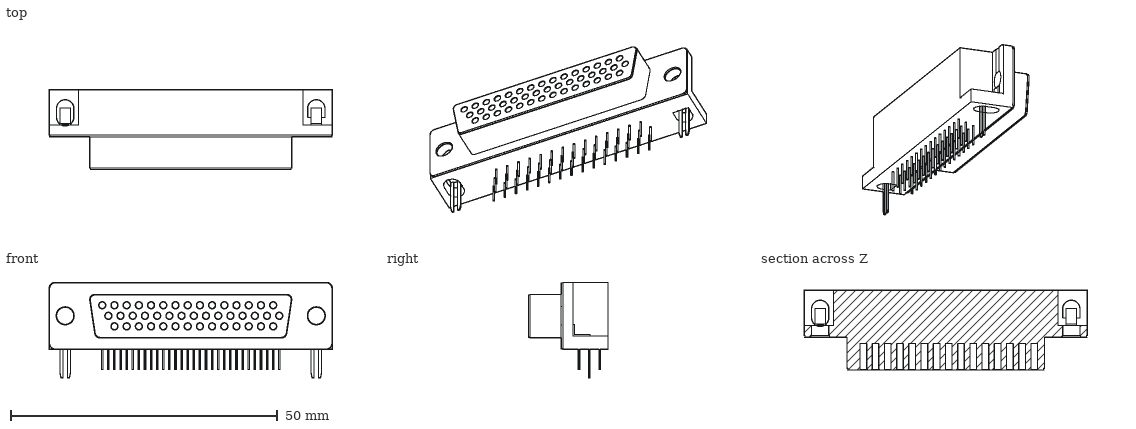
import cadquery as cq


WIDTH = 53.1
OVERALL_DEPTH = 15.0
HEIGHT = 12.55
REAR_Y = 0.0
MATING_Y = REAR_Y - OVERALL_DEPTH
FLANGE_BACK_Y = REAR_Y - 6.6
FLANGE_FRONT_Y = REAR_Y - 8.5
PLATE_THICKNESS = 0.35
PLATE_INSET = 0.09
PLATE_FRONT_Y = FLANGE_FRONT_Y - PLATE_THICKNESS
CORNER_RADIUS = 1.0

EAR_WIDTH = 5.45
LEDGE_HEIGHT = 2.55
MOUNT_PITCH = 47.1
MOUNT_HOLE_DIAMETER = 3.2
MOUNT_HOLE_Z = 6.3
PLATE_HOLE_DIAMETER = 3.4

SLOT_WIDTH = 3.2
SLOT_REAR_CENTER_Y = REAR_Y - 3.5
SLOT_FRONT_CENTER_Y = REAR_Y - 5.17

SHROUD_TOP_WIDTH = 38.25
SHROUD_BOTTOM_WIDTH = 35.8
SHROUD_BOTTOM_Z = 2.15
SHROUD_HEIGHT = 8.18
SHROUD_CORNER_RADIUS = 1.0
INSERT_INSET = 0.12
INSERT_PROJECTION = 0.35

CONTACT_PITCH = 2.29
CONTACT_OFFSET = CONTACT_PITCH / 2
ROW_PITCH = 1.98
MIDDLE_ROW_Z = MOUNT_HOLE_Z
SOCKET_DIAMETER = 1.2
SOCKET_DEPTH = 5.0
SOCKET_LEAD_IN = 0.08
LEAD_IN_ANGLE = 45
FULL_ROW = 15
SHORT_ROW = 14
FIRST_CONTACT_X = -(2 * FULL_ROW - 1) * CONTACT_OFFSET / 2

TAIL_DIAMETER = 0.3
TAIL_LENGTH = 3.8
TAIL_TIP_CHAMFER = 0.06
TAIL_ROW_PITCH = 1.93
MIDDLE_TAIL_Y = REAR_Y - 3.55

STRAP_WIDTH = 2.0
STRAP_THICKNESS = 0.3
STRAP_BEND_RADIUS = 0.18
STRAP_TOP_Z = 2.8
STRAP_LEG_TOP_Z = 4.65
STRAP_REAR_Y = REAR_Y - 3.4
PRONG_WIDTH = 0.6
PRONG_TIP_Z = -5.35
PRONG_TAPER_WIDTH = 0.2
PRONG_TAPER_HEIGHT = 0.85

CONTACT_ROWS = [
    (FIRST_CONTACT_X, FULL_ROW, MIDDLE_ROW_Z + ROW_PITCH, MIDDLE_TAIL_Y + TAIL_ROW_PITCH),
    (FIRST_CONTACT_X + CONTACT_OFFSET, FULL_ROW, MIDDLE_ROW_Z, MIDDLE_TAIL_Y),
    (FIRST_CONTACT_X + CONTACT_PITCH, SHORT_ROW, MIDDLE_ROW_Z - ROW_PITCH, MIDDLE_TAIL_Y - TAIL_ROW_PITCH),
]


def box_between(x_range, y_range, z_range):
    """Axis-aligned box from its limits along X, Y and Z."""
    x0, x1 = x_range
    y0, y1 = y_range
    z0, z1 = z_range
    return cq.Workplane("XY").box(x1 - x0, y1 - y0, z1 - z0, centered=False).translate((x0, y0, z0))


def make_housing():
    """Block with a full-width flange, ledges at both ends and a thin front plate."""
    half_width = WIDTH / 2
    flange = box_between((-half_width, half_width), (FLANGE_FRONT_Y, FLANGE_BACK_Y), (0, HEIGHT))
    flange = flange.edges("|Y and >Z").fillet(CORNER_RADIUS)
    half_plate = half_width - PLATE_INSET
    plate_z = (PLATE_INSET, HEIGHT - PLATE_INSET)
    plate = box_between((-half_plate, half_plate), (PLATE_FRONT_Y, FLANGE_FRONT_Y), plate_z)
    plate = plate.edges("|Y").fillet(CORNER_RADIUS)
    half_block = half_width - EAR_WIDTH
    block = box_between((-half_block, half_block), (FLANGE_BACK_Y, REAR_Y), (0, HEIGHT))
    ledges = box_between((-half_width, half_width), (FLANGE_BACK_Y, REAR_Y), (0, LEDGE_HEIGHT))
    return flange.union(plate).union(block).union(ledges)


def make_shroud_layer(inset, back_y, front_y):
    """Trapezoid, wider at the top, shrunk evenly from the shroud outline by the inset."""
    top_z = SHROUD_BOTTOM_Z + SHROUD_HEIGHT
    outline = [
        (-SHROUD_BOTTOM_WIDTH / 2, SHROUD_BOTTOM_Z),
        (SHROUD_BOTTOM_WIDTH / 2, SHROUD_BOTTOM_Z),
        (SHROUD_TOP_WIDTH / 2, top_z),
        (-SHROUD_TOP_WIDTH / 2, top_z),
    ]
    layer = cq.Workplane("XZ", origin=(0, back_y, 0)).polyline(outline).close()
    if inset > 0:
        layer = layer.offset2D(-inset)
    layer = layer.extrude(back_y - front_y)
    return layer.edges("|Y").fillet(SHROUD_CORNER_RADIUS - inset)


def make_shroud():
    """D-shaped shroud whose contact insert stands slightly proud of the shell."""
    shell_front_y = MATING_Y + INSERT_PROJECTION
    shell = make_shroud_layer(0, PLATE_FRONT_Y, shell_front_y)
    return shell.union(make_shroud_layer(INSERT_INSET, shell_front_y, MATING_Y))


def make_mount_holes():
    """Screw holes through the flange, slightly wider in the front plate."""
    centers = [(-MOUNT_PITCH / 2, 0), (MOUNT_PITCH / 2, 0)]
    flange_holes = (
        cq.Workplane("XZ", origin=(0, FLANGE_BACK_Y, MOUNT_HOLE_Z))
        .pushPoints(centers)
        .circle(MOUNT_HOLE_DIAMETER / 2)
        .extrude(FLANGE_BACK_Y - FLANGE_FRONT_Y)
    )
    plate_holes = (
        cq.Workplane("XZ", origin=(0, FLANGE_FRONT_Y, MOUNT_HOLE_Z))
        .pushPoints(centers)
        .circle(PLATE_HOLE_DIAMETER / 2)
        .extrude(PLATE_THICKNESS)
    )
    return flange_holes.union(plate_holes)


def make_slot_round_end(x, y, height):
    """Upright cylinder that forms one round end of a slot."""
    return cq.Workplane("XY", origin=(x, y, 0)).circle(SLOT_WIDTH / 2).extrude(height)


def make_slots():
    """Left slot is round at both ends; the right one is square at the front."""
    slots = cq.Workplane("XY")
    for x in (-MOUNT_PITCH / 2, MOUNT_PITCH / 2):
        straight = box_between(
            (x - SLOT_WIDTH / 2, x + SLOT_WIDTH / 2),
            (SLOT_FRONT_CENTER_Y, SLOT_REAR_CENTER_Y),
            (0, LEDGE_HEIGHT),
        )
        slots = slots.add(straight.union(make_slot_round_end(x, SLOT_REAR_CENTER_Y, LEDGE_HEIGHT)))
    return slots.add(make_slot_round_end(-MOUNT_PITCH / 2, SLOT_FRONT_CENTER_Y, HEIGHT)).combine()


def make_sockets():
    """Blind contact holes in the mating face, each with a small lead-in."""
    centers = []
    for first_x, count, z, _ in CONTACT_ROWS:
        centers += [(first_x + i * CONTACT_PITCH, z) for i in range(count)]
    bores = (
        cq.Workplane("XZ", origin=(0, MATING_Y + SOCKET_DEPTH, 0))
        .pushPoints(centers)
        .circle(SOCKET_DIAMETER / 2)
        .extrude(SOCKET_DEPTH)
    )
    lead_ins = (
        cq.Workplane("XZ", origin=(0, MATING_Y, 0))
        .pushPoints(centers)
        .circle(SOCKET_DIAMETER / 2 + SOCKET_LEAD_IN)
        .extrude(-SOCKET_LEAD_IN, taper=LEAD_IN_ANGLE)
    )
    return bores.union(lead_ins)


def make_tails():
    """Round solder tails below the housing, one for each contact, with chamfered tips."""
    centers = []
    for first_x, count, _, y in CONTACT_ROWS:
        centers += [(first_x + i * CONTACT_PITCH, y) for i in range(count)]
    tails = cq.Workplane("XY").pushPoints(centers).circle(TAIL_DIAMETER / 2).extrude(-TAIL_LENGTH)
    return tails.faces("<Z").edges().chamfer(TAIL_TIP_CHAMFER)


def make_prong(side):
    """Prong on one side of a strap, tapered on its outer edge; side is -1 or 1."""
    outer = STRAP_WIDTH / 2
    inner = outer - PRONG_WIDTH
    outline = [
        (side * inner, STRAP_TOP_Z - STRAP_THICKNESS),
        (side * inner, PRONG_TIP_Z),
        (side * (outer - PRONG_TAPER_WIDTH), PRONG_TIP_Z),
        (side * outer, PRONG_TIP_Z + PRONG_TAPER_HEIGHT),
        (side * outer, STRAP_TOP_Z - STRAP_THICKNESS),
    ]
    return cq.Workplane("XZ", origin=(0, STRAP_REAR_Y, 0)).polyline(outline).close().extrude(STRAP_THICKNESS)


def make_board_lock(x):
    """Strap with a leg up the flange, a flat part in the slot and two prongs."""
    across = (-STRAP_WIDTH / 2, STRAP_WIDTH / 2)
    flat_z = (STRAP_TOP_Z - STRAP_THICKNESS, STRAP_TOP_Z)
    flat = box_between(across, (FLANGE_BACK_Y, STRAP_REAR_Y), flat_z)
    flat = flat.edges("|X and >Y and >Z").fillet(STRAP_BEND_RADIUS)
    leg_y = (FLANGE_BACK_Y, FLANGE_BACK_Y + STRAP_THICKNESS)
    leg = box_between(across, leg_y, (flat_z[0], STRAP_LEG_TOP_Z))
    lock = flat.union(leg).union(make_prong(-1)).union(make_prong(1))
    return lock.translate((x, 0, 0))


result = make_housing().union(make_shroud())
result = result.cut(make_mount_holes()).cut(make_slots()).cut(make_sockets())
result = result.union(make_tails())
for lock_x in (-MOUNT_PITCH / 2, MOUNT_PITCH / 2):
    result = result.union(make_board_lock(lock_x))